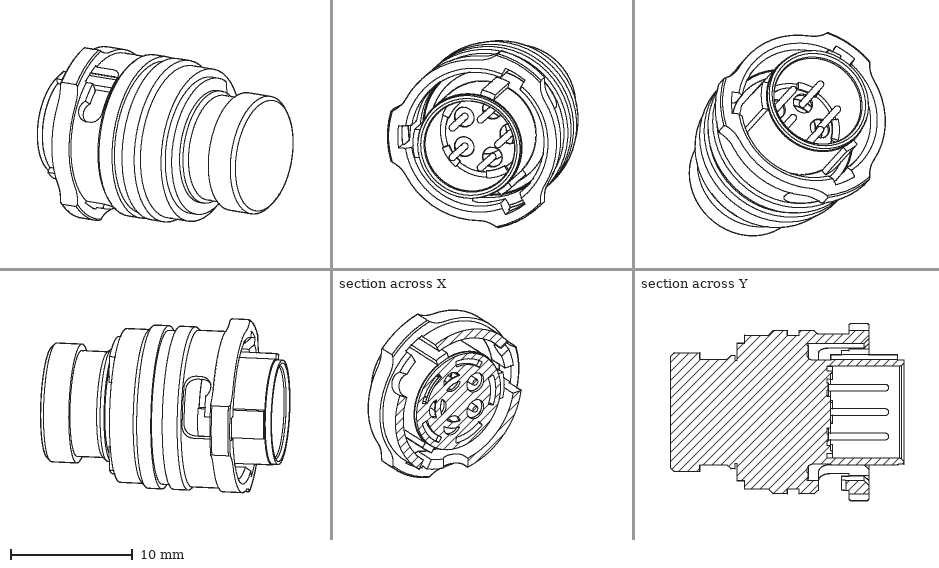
import cadquery as cq
import math


total_length = 19.2
key_front_x = 0.54
flange_front_x = 2.88
flange_back_x = 4.53
key_back_x = 6.03
cavity_floor_x = 7.97
grip_front_x = 7.12
grip_groove_front_x = 8.64
grip_groove_back_x = 9.6
grip_back_x = 11.14
body_back_x = 13.11
rear_step_back_x = 13.73
collar_front_x = 13.88
collar_flat_back_x = 14.2
collar_back_x = 14.55
nut_front_x = 16.78

barrel_radius = 4.35
barrel_lip_radius = 4.3
key_radius = 4.82
shell_radius = 6.45
grip_radius = 6.72
body_radius = 6.34
rear_step_radius = 5.66
neck_radius = 4.26
collar_radius = 4.67
stem_radius = 4.35
nut_radius = 4.9

grip_front_chamfer = 0.27
grip_back_chamfer = 0.36
nut_chamfer = 0.3
lobe_chamfer = 0.13
barrel_lip_bevel = barrel_radius - barrel_lip_radius

shell_bore_radius = 5.6
shell_mouth_radius = 6.03
seal_outer_radius = 5.51
seal_inner_radius = 4.95
seal_height = 0.1
barrel_root_fillet = 0.48

bore_radius = 3.76
bore_throat_radius = 3.82
bore_mouth_radius = 4.05
bore_throat_length = 0.15
insert_face_x = key_back_x
insert_radius = 3.28
insert_tab_radius = 3.17
insert_rim_depth = 0.29
insert_tab_height = 0.15
insert_tab_span = 29.0
contact_count = 5
contact_circle_radius = 2.11
contact_start_angle = 180.0
contact_well_radius = 0.83
contact_well_depth = 0.29
contact_bar_inner_radius = 1.8
contact_bar_outer_radius = 2.4
contact_bar_span = 200.0
contact_bar_height = 0.1
pin_radius = 0.278
pin_root_length = 0.29
pin_tip_x = 1.29
pin_tip_round = 0.25

wide_key_width = 2.35
narrow_key_width = 1.17
keys_by_angle = ((0.0, wide_key_width), (109.0, narrow_key_width), (230.5, narrow_key_width))

lobe_angles = (0.0, 120.0, 240.0)
flange_radius = 6.74
lobe_radius = 7.5
lobe_corner_angle = 16.1
lobe_blend_angle = 28.5

slot_half_width = 0.931
slot_center_x = 6.09
slot_turn_angle = 30.0
seat_shift = 0.36
slot_roof_radius = 6.6
slot_inner_radius = 5.18
slot_outer_radius = 6.91

rear_gap_ring_angle = 58.2
rear_gap_core_angle = 39.7


def revolved(profile):
    """Solid of revolution about X from (x, radius) points."""
    return cq.Workplane("XY").polyline(profile).close().revolve(360, (0, 0), (1, 0))


def turned(shape, angle):
    """Shape rotated about the X axis."""
    return shape.rotate((0, 0, 0), (1, 0, 0), angle)


def cylinder(start_x, end_x, radius):
    """Cylinder on the X axis."""
    return cq.Workplane("YZ").workplane(offset=start_x).circle(radius).extrude(end_x - start_x)


def ring_sector(start_x, end_x, inner_radius, outer_radius, span):
    """Part of a rectangular-section ring, swept from +Y through the span angle."""
    section = cq.Workplane("XY").moveTo(start_x, inner_radius)
    section = section.lineTo(end_x, inner_radius).lineTo(end_x, outer_radius).lineTo(start_x, outer_radius)
    return section.close().revolve(span, (0, 0), (1, 0))


def polar(radius, angle):
    """(Y, Z) of a point at a radius and an angle."""
    return radius * math.cos(math.radians(angle)), radius * math.sin(math.radians(angle))


def make_shell():
    """Outer body: shell, grooved grip, rear step, collar, stem and rear nut turned as one."""
    return revolved([
        (flange_front_x, 0),
        (flange_front_x, shell_radius),
        (grip_front_x, shell_radius),
        (grip_front_x + grip_front_chamfer, grip_radius),
        (grip_groove_front_x, grip_radius),
        (grip_groove_front_x, body_radius),
        (grip_groove_back_x, body_radius),
        (grip_groove_back_x, grip_radius),
        (grip_back_x - grip_back_chamfer, grip_radius),
        (grip_back_x, body_radius),
        (body_back_x, body_radius),
        (body_back_x, rear_step_radius),
        (rear_step_back_x, rear_step_radius),
        (rear_step_back_x, neck_radius),
        (collar_front_x, neck_radius),
        (collar_front_x, collar_radius),
        (collar_flat_back_x, collar_radius),
        (collar_back_x, stem_radius),
        (nut_front_x, stem_radius),
        (nut_front_x, nut_radius),
        (total_length - nut_chamfer, nut_radius),
        (total_length, nut_radius - nut_chamfer),
        (total_length, 0),
    ])


def make_flange():
    """Three-lobed flange; concave arcs run from the lobe corners into the round rim."""
    lobe_pitch = 360 / len(lobe_angles)
    outline = cq.Workplane("YZ").workplane(offset=flange_front_x)
    outline = outline.moveTo(*polar(lobe_radius, -lobe_corner_angle))
    corner_gap = math.radians(lobe_blend_angle - lobe_corner_angle)
    rise = lobe_radius * math.cos(corner_gap) - flange_radius
    reach = lobe_radius * math.sin(corner_gap)
    half_turn = math.atan2(rise, reach)
    blend_radius = math.hypot(rise, reach) / (2 * math.sin(half_turn))
    mid_radius = flange_radius + blend_radius * (1 - math.cos(half_turn))
    mid_reach = blend_radius * math.sin(half_turn)
    blend_mid_radius = math.hypot(mid_radius, mid_reach)
    blend_mid_angle = lobe_blend_angle - math.degrees(math.atan2(mid_reach, mid_radius))
    for angle in lobe_angles:
        next_angle = angle + lobe_pitch
        outline = (
            outline
            .threePointArc(polar(lobe_radius, angle), polar(lobe_radius, angle + lobe_corner_angle))
            .threePointArc(
                polar(blend_mid_radius, angle + blend_mid_angle),
                polar(flange_radius, angle + lobe_blend_angle),
            )
            .threePointArc(
                polar(flange_radius, angle + lobe_pitch / 2),
                polar(flange_radius, next_angle - lobe_blend_angle),
            )
            .threePointArc(
                polar(blend_mid_radius, next_angle - blend_mid_angle),
                polar(lobe_radius, next_angle - lobe_corner_angle),
            )
        )
    plate = outline.close().extrude(flange_back_x - flange_front_x)
    chamfered_disc = cylinder(flange_front_x, flange_back_x, lobe_radius).edges().chamfer(lobe_chamfer)
    return plate.intersect(chamfered_disc)


def make_cavity():
    """Open space inside the shell, with a bevelled mouth and a shallow seal ring on its floor."""
    seal_x = cavity_floor_x - seal_height
    mouth_depth = shell_mouth_radius - shell_bore_radius
    return revolved([
        (flange_front_x, 0),
        (flange_front_x, shell_mouth_radius),
        (flange_front_x + mouth_depth, shell_bore_radius),
        (cavity_floor_x, shell_bore_radius),
        (cavity_floor_x, seal_outer_radius),
        (seal_x, seal_outer_radius),
        (seal_x, seal_inner_radius),
        (cavity_floor_x, seal_inner_radius),
        (cavity_floor_x, 0),
    ])


def make_barrel():
    """Plug barrel, flared by a fillet where it meets the cavity floor."""
    fillet_start_x = cavity_floor_x - barrel_root_fillet
    root_radius = barrel_lip_radius + barrel_root_fillet
    diagonal = barrel_root_fillet * math.sqrt(0.5)
    return (
        cq.Workplane("XY")
        .moveTo(0, 0)
        .lineTo(0, barrel_lip_radius)
        .lineTo(key_front_x - barrel_lip_bevel, barrel_lip_radius)
        .lineTo(key_front_x, barrel_radius)
        .lineTo(key_back_x, barrel_radius)
        .lineTo(key_back_x, barrel_lip_radius)
        .lineTo(fillet_start_x, barrel_lip_radius)
        .threePointArc((fillet_start_x + diagonal, root_radius - diagonal), (cavity_floor_x, root_radius))
        .lineTo(cavity_floor_x, 0)
        .close()
        .revolve(360, (0, 0), (1, 0))
    )


def make_keys():
    """Polarising keys: the wide one on +Y and two narrower ones."""
    key_ring = cylinder(key_front_x, key_back_x, key_radius)
    length = key_back_x - key_front_x
    keys = cq.Workplane("XY")
    for angle, width in keys_by_angle:
        bar = cq.Workplane("XY").box(length, key_radius, width, centered=(False, False, True))
        keys = keys.add(turned(bar.translate((key_front_x, 0, 0)), angle).intersect(key_ring))
    return keys.combine()


def make_bore():
    """Barrel bore with a two-step bevelled mouth, down to the rim around the contact insert."""
    mouth_depth = bore_mouth_radius - bore_throat_radius
    rim_x = insert_face_x + insert_rim_depth
    return revolved([
        (0, 0),
        (0, bore_mouth_radius),
        (mouth_depth, bore_throat_radius),
        (mouth_depth + bore_throat_length, bore_radius),
        (rim_x, bore_radius),
        (rim_x, insert_radius),
        (insert_face_x, insert_radius),
        (insert_face_x, 0),
    ])


def contact_angles():
    """Angles of the equally spaced contacts."""
    return [contact_start_angle + i * 360 / contact_count for i in range(contact_count)]


def make_insert_tabs():
    """Raised rim tabs on the insert, one outside each contact."""
    tab_front_x = insert_face_x - insert_tab_height
    tab_back_x = insert_face_x + insert_rim_depth
    tab = ring_sector(tab_front_x, tab_back_x, insert_tab_radius, barrel_lip_radius, insert_tab_span)
    tabs = cq.Workplane("XY")
    for angle in contact_angles():
        tabs = tabs.add(turned(tab, angle - insert_tab_span / 2))
    return tabs.combine()


def add_contacts(part):
    """Round-tipped pins, each standing in a shallow well."""
    well_floor_x = insert_face_x + contact_well_depth
    for angle in contact_angles():
        y, z = polar(contact_circle_radius, angle)
        well = cylinder(insert_face_x, well_floor_x, contact_well_radius)
        pin = cylinder(pin_tip_x, well_floor_x + pin_root_length, pin_radius)
        pin = pin.faces("<X").edges().fillet(pin_tip_round)
        part = part.cut(well.translate((0, y, z))).union(pin.translate((0, y, z)))
    return part


def make_contact_bar():
    """C-shaped bar that crosses the floors of the three wells on the -Y side."""
    floor_x = insert_face_x + contact_well_depth
    top_x = floor_x - contact_bar_height
    bar = ring_sector(
        top_x, floor_x, contact_bar_inner_radius, contact_bar_outer_radius, contact_bar_span
    )
    return turned(bar, contact_start_angle - contact_bar_span / 2)


def make_bayonet_slot():
    """Cutter for the slot that enters along +Y: entry, turn and seat."""
    front_x = slot_center_x - slot_half_width
    back_x = slot_center_x + slot_half_width

    def round_end(x):
        return (
            cq.Workplane("XZ", origin=(x, slot_outer_radius, 0))
            .circle(slot_half_width)
            .extrude(slot_outer_radius - slot_inner_radius)
        )

    def straight(start_x, end_x):
        depth = slot_outer_radius - slot_inner_radius
        bar = cq.Workplane("XY").box(
            end_x - start_x, depth, 2 * slot_half_width, centered=(False, False, True)
        )
        return bar.translate((start_x, slot_inner_radius, 0))

    entry = straight(flange_front_x, slot_center_x).union(round_end(slot_center_x))
    turn = ring_sector(front_x, back_x, slot_inner_radius, slot_outer_radius, slot_turn_angle)
    seat_front_x = slot_center_x - seat_shift
    seat = round_end(seat_front_x).union(straight(seat_front_x, slot_center_x))
    seat = seat.union(round_end(slot_center_x))
    slot = entry.union(turn).union(turned(seat, slot_turn_angle))
    return slot.intersect(cylinder(flange_front_x, cavity_floor_x, slot_roof_radius))


def make_rear_gap():
    """Cutter that opens the rear step on the +Y side and leaves the neck whole."""
    far_y = 2 * rear_step_radius
    ring_y, ring_z = polar(rear_step_radius, rear_gap_ring_angle)
    core_y, core_z = polar(neck_radius, rear_gap_core_angle)
    wedge = (
        cq.Workplane("YZ")
        .workplane(offset=body_back_x)
        .polyline([
            (core_y, core_z), (ring_y, ring_z), (far_y, ring_z),
            (far_y, -ring_z), (ring_y, -ring_z), (core_y, -core_z),
        ])
        .close()
        .extrude(rear_step_back_x - body_back_x)
    )
    return wedge.cut(cylinder(body_back_x, rear_step_back_x, neck_radius))


housing = make_shell().union(make_flange()).cut(make_cavity())
bayonet_slot = make_bayonet_slot()
for lobe_angle in lobe_angles:
    housing = housing.cut(turned(bayonet_slot, lobe_angle))
housing = housing.cut(make_rear_gap())

plug = make_barrel().union(make_keys()).cut(make_bore()).union(make_insert_tabs())
result = add_contacts(housing.union(plug)).union(make_contact_bar())